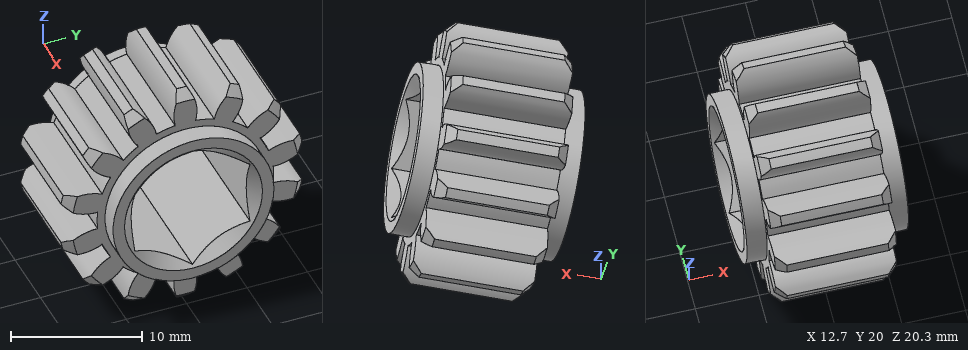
import cadquery as cq
import math


tooth_count = 14
tip_radius = 10.15
root_radius = 7.32
gear_width = 9.53
overall_length = 12.7
hub_diameter = 13.33
tip_chamfer = 0.77

tip_half_width = 0.4
widest_half_width = 0.95
widest_radius = 8.17

bore_sides = 6
hex_across_flats = 9.53
bore_mouth_diameter = 11.42
bore_mouth_angle = 45.0

tip_corner_height = math.sqrt(tip_radius**2 - tip_half_width**2)
flank_rise = tip_corner_height - widest_radius
flank_inset = widest_half_width - tip_half_width
flank_radius = (flank_rise**2 + flank_inset**2) / (2 * flank_inset)

foot_overlap = 0.2
tooth_foot_radius = root_radius - foot_overlap


def flank_half_width(height):
    """Half width of the tooth at a given height above the gear axis."""
    drop = flank_radius - math.sqrt(flank_radius**2 - (height - widest_radius)**2)
    return widest_half_width - drop


def x_cylinder(diameter, length):
    """Cylinder along X, centred on the origin."""
    return cq.Workplane("YZ").circle(diameter / 2).extrude(length / 2, both=True)


def make_tooth():
    """One full-width tooth pointing along +Z."""
    foot_half_width = flank_half_width(tooth_foot_radius)
    return (
        cq.Workplane("YZ")
        .moveTo(-foot_half_width, tooth_foot_radius)
        .threePointArc((-widest_half_width, widest_radius), (-tip_half_width, tip_corner_height))
        .threePointArc((0, tip_radius), (tip_half_width, tip_corner_height))
        .threePointArc((widest_half_width, widest_radius), (foot_half_width, tooth_foot_radius))
        .close()
        .extrude(gear_width / 2, both=True)
    )


def make_gear():
    """Toothed ring, with the tooth tips chamfered at both ends."""
    gear = x_cylinder(2 * root_radius, gear_width)
    tooth = make_tooth()
    for index in range(tooth_count):
        angle = index * 360 / tooth_count
        gear = gear.union(tooth.rotate((0, 0, 0), (1, 0, 0), angle))
    chamfered_blank = x_cylinder(2 * tip_radius, gear_width).edges().chamfer(tip_chamfer)
    return gear.intersect(chamfered_blank)


def make_hex_bore():
    """Hexagonal through bore with one pair of corners along Z."""
    hex_across_corners = hex_across_flats / math.cos(math.pi / bore_sides)
    return (
        cq.Workplane("YZ")
        .transformed(rotate=(0, 0, 90))
        .polygon(bore_sides, hex_across_corners)
        .extrude(overall_length / 2, both=True)
    )


def make_bore_mouths():
    """Conical cutters that open the hexagon to a circle at each end face."""
    mouth_radius = bore_mouth_diameter / 2
    cone_height = mouth_radius / math.tan(math.radians(bore_mouth_angle))
    face_x = overall_length / 2
    cones = cq.Workplane("XY")
    for side in (-1, 1):
        cone = cq.Solid.makeCone(
            mouth_radius, 0, cone_height, cq.Vector(side * face_x, 0, 0), cq.Vector(-side, 0, 0)
        )
        cones = cones.add(cone)
    return cones.combine()


hubs = x_cylinder(hub_diameter, overall_length)
result = make_gear().union(hubs).cut(make_hex_bore()).cut(make_bore_mouths())